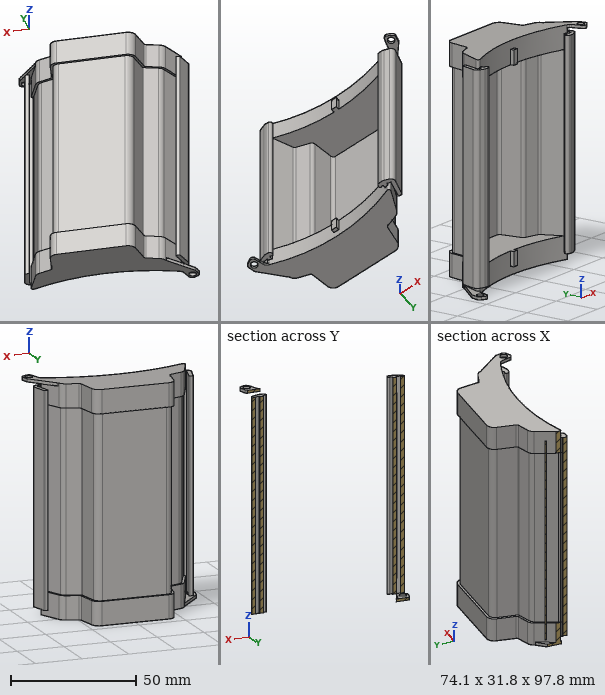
import math

import cadquery as cq

TOTAL_HEIGHT = 97.8
CAP_HEIGHT = 10.1
CLIP_END_GAP = 3.4

BACK_CORNER = (17.15, 0.0)
NECK_CORNER = (19.05, -11.45)
SHOULDER_CORNER = (26.15, -13.8)
FLANK_END = (33.75, -30.75)
BACK_RADIUS = 3.4
NECK_RADIUS = 1.0
SHOULDER_RADIUS = 3.6
TIP_RADIUS = 0.87

FRONT_ARC_RADIUS = 83.2
FRONT_ARC_TOP = -19.9

WALL_INSET = 1.0
WALL_THICKNESS = 1.5
WALL_BACK_RADIUS = 3.0
WALL_NECK_RADIUS = 0.4
WALL_SHOULDER_RADIUS = 3.0

RIB_WIDTH = 2.4
RIB_FRONT = -21.5
RIB_END_GAP = 3.7

EAR_THICKNESS = 1.35
EAR_HOLE_CENTRE = (34.5, -28.9)
EAR_HOLE_RADIUS = 1.5
EAR_CORNERS = [
    (24.0, -20.0, 0),
    (27.1, -15.7, 0),
    (36.3, -26.2, 1.0),
    (37.26, -30.15, 1.4),
    (33.1, -32.43, 1.4),
    (31.1, -26.2, 1.0),
    (29.6, -25.3, 0),
    (28.5, -24.0, 0),
]

CLIP_CORNERS = [
    (30.1, -18.35, 0.3),
    (31.9, -18.35, 0.3),
    (34.2, -26.65, 2.1),
    (29.6, -28.4, 3.0),
    (26.6, -28.15, 1.2),
    (26.8, -26.05, 0.6),
    (28.6, -26.5, 0.3),
    (28.4, -24.5, 0),
    (30.2, -24.5, 0),
    (30.2, -26.15, 0),
    (31.95, -25.8, 0),
]


def toward(start, end, distance):
    """Point at a distance from start along the line to end."""
    length = math.dist(start, end)
    return tuple(a + (b - a) * distance / length for a, b in zip(start, end))


def rounded_outline(corners):
    """Closed outline through (x, y, radius) corners, each rounded by its radius."""
    pieces = []
    for i, (x, y, radius) in enumerate(corners):
        corner = (x, y)
        before = corners[i - 1][:2]
        after = corners[(i + 1) % len(corners)][:2]
        unit_before = toward((0, 0), (before[0] - x, before[1] - y), 1)
        unit_after = toward((0, 0), (after[0] - x, after[1] - y), 1)
        half_angle = math.acos(sum(a * b for a, b in zip(unit_before, unit_after))) / 2
        setback = radius / math.tan(half_angle)
        bisector_end = (x + unit_before[0] + unit_after[0], y + unit_before[1] + unit_after[1])
        middle = toward(corner, bisector_end, radius / math.sin(half_angle) - radius)
        pieces.append((toward(corner, before, setback), middle, toward(corner, after, setback), radius))

    outline = cq.Workplane("XY").moveTo(*pieces[0][2])
    for start, middle, end, radius in pieces[1:] + pieces[:1]:
        outline = outline.lineTo(*start)
        if radius > 0:
            outline = outline.threePointArc(middle, end)
    return outline.close()


def prism(outline, bottom, height):
    return outline.extrude(height).translate((0, 0, bottom))


def unit_normal(start, end):
    """Unit vector pointing right of the way from start to end."""
    dx, dy = toward((0, 0), (end[0] - start[0], end[1] - start[1]), 1)
    return dy, -dx


def inset_corner(before, corner, after, inset):
    """Corner of the outline after both of its sides move inward by inset."""
    nx1, ny1 = unit_normal(before, corner)
    nx2, ny2 = unit_normal(corner, after)
    stretch = inset / (1 + nx1 * nx2 + ny1 * ny2)
    return corner[0] + (nx1 + nx2) * stretch, corner[1] + (ny1 + ny2) * stretch


def hat_outline(inset, back_radius, neck_radius, shoulder_radius):
    """Symmetric hat-shaped outline whose flanks run on below the front arc."""
    path = [(0, 0), BACK_CORNER, NECK_CORNER, SHOULDER_CORNER, FLANK_END, (0, FLANK_END[1])]
    radii = [back_radius, neck_radius, shoulder_radius, 0]
    right = []
    for before, corner, after, radius in zip(path, path[1:], path[2:], radii):
        right.append((*inset_corner(before, corner, after, inset), radius))
    left = [(-x, y, radius) for x, y, radius in reversed(right)]
    return rounded_outline(right + left)


def front_cutter(height):
    """Cylinder that hollows the front face."""
    return (
        cq.Workplane("XY")
        .center(0, FRONT_ARC_TOP - FRONT_ARC_RADIUS)
        .circle(FRONT_ARC_RADIUS)
        .extrude(height, both=True)
    )


def end_cap():
    """Upper cap: solid block with a concave front and rounded tips."""
    outline = hat_outline(0, BACK_RADIUS, NECK_RADIUS, SHOULDER_RADIUS)
    cap = prism(outline, TOTAL_HEIGHT / 2 - CAP_HEIGHT, CAP_HEIGHT)
    cap = cap.cut(front_cutter(TOTAL_HEIGHT))
    for side in (">X", "<X"):
        cap = cap.edges("|Z").edges(side).fillet(TIP_RADIUS)
    return cap


def rib():
    """Small upright rib at the middle of the upper cap's front face."""
    depth = 2 * (FRONT_ARC_TOP - RIB_FRONT)
    length = CAP_HEIGHT - RIB_END_GAP
    return (
        cq.Workplane("XY")
        .box(RIB_WIDTH, depth, length, centered=(True, False, False))
        .translate((0, RIB_FRONT, TOTAL_HEIGHT / 2 - CAP_HEIGHT))
    )


def ear():
    """Flat screw ear flush with the upper end, on the right side."""
    bottom = TOTAL_HEIGHT / 2 - EAR_THICKNESS
    plate = prism(rounded_outline(EAR_CORNERS), bottom, EAR_THICKNESS)
    hole = cq.Workplane("XY").center(*EAR_HOLE_CENTRE).circle(EAR_HOLE_RADIUS)
    return plate.cut(prism(hole, bottom, EAR_THICKNESS))


def clip_rail():
    """Hooked rail along the right side."""
    length = TOTAL_HEIGHT - 2 * CLIP_END_GAP
    return prism(rounded_outline(CLIP_CORNERS), -length / 2, length)


def wall():
    """Thin hat-shaped wall between the caps, open at the front."""
    length = TOTAL_HEIGHT - 2 * CAP_HEIGHT
    outer_outline = hat_outline(WALL_INSET, WALL_BACK_RADIUS, WALL_NECK_RADIUS, WALL_SHOULDER_RADIUS)
    inner_outline = hat_outline(
        WALL_INSET + WALL_THICKNESS,
        WALL_BACK_RADIUS - WALL_THICKNESS,
        WALL_NECK_RADIUS + WALL_THICKNESS,
        WALL_SHOULDER_RADIUS - WALL_THICKNESS,
    )
    outer = prism(outer_outline, -length / 2, length)
    inner = prism(inner_outline, -length / 2, length)
    return outer.cut(inner).cut(front_cutter(TOTAL_HEIGHT))


half = end_cap().union(rib()).union(ear()).union(clip_rail())
other_half = half.rotate((0, 0, 0), (0, 1, 0), 180)

result = wall().union(half).union(other_half)